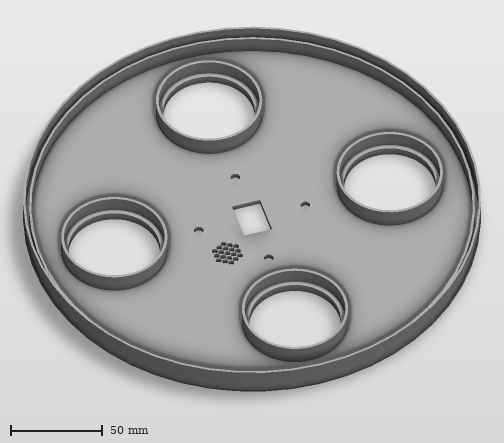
import cadquery as cq
import math

outer_diameter = 250.0
inner_diameter = 247.5
height = 18.0
floor_thickness = 3.0
bottom_edge_radius = 4.0

inner_ring_outer_diameter = 243.5
inner_ring_inner_diameter = 241.0
inner_ring_top = 13.0

ring_count = 4
ring_circle_radius = 78.8
ring_outer_diameter = 58.0
ring_inner_diameter = 55.0
opening_diameter = 50.0
ring_top = 14.0
ring_ledge = 5.0

screw_count = 4
screw_circle_radius = 30.5
screw_diameter = 5.2
window_length = 22.0
window_width = 16.0

grille_x = 20.5
grille_y = -20.5
grille_pitch = 3.5
grille_hole_diameter = 3.2
grille_rings = 2


def cylinder(diameter, bottom, top, points=((0, 0),)):
    """Upright cylinders of one diameter, centred on the given points."""
    disks = cq.Workplane("XY").workplane(offset=bottom).pushPoints(points).circle(diameter / 2)
    return disks.extrude(top - bottom)


def circle_points(count, radius):
    """Points evenly spaced on a circle, the first one on +X."""
    angles = [2 * math.pi * i / count for i in range(count)]
    return [(radius * math.cos(a), radius * math.sin(a)) for a in angles]


def grille_points():
    """Triangular grid of points filling a hexagon with corners on the X direction."""
    points = []
    for row in range(-grille_rings, grille_rings + 1):
        holes_in_row = 2 * grille_rings + 1 - abs(row)
        y = grille_y + row * grille_pitch * math.sqrt(3) / 2
        for i in range(holes_in_row):
            x = grille_x + (i - (holes_in_row - 1) / 2) * grille_pitch
            points.append((x, y))
    return points


def make_dish():
    """Round dish with a rounded bottom edge and a lower ring standing just inside its wall."""
    body = cylinder(outer_diameter, 0, height).faces("<Z").edges().fillet(bottom_edge_radius)
    body = body.cut(cylinder(inner_diameter, floor_thickness, height))
    inner_ring = cylinder(inner_ring_outer_diameter, floor_thickness, inner_ring_top)
    inner_ring = inner_ring.cut(cylinder(inner_ring_inner_diameter, floor_thickness, inner_ring_top))
    return body.union(inner_ring)


def add_rings(dish):
    """Raised rings, each with a ledge above a through opening."""
    centers = circle_points(ring_count, ring_circle_radius)
    dish = dish.union(cylinder(ring_outer_diameter, 0, ring_top, centers))
    dish = dish.cut(cylinder(ring_inner_diameter, ring_ledge, ring_top, centers))
    return dish.cut(cylinder(opening_diameter, 0, ring_top, centers))


def cut_floor_openings(dish):
    """Screw holes, central window and grille, all through the floor."""
    screws = circle_points(screw_count, screw_circle_radius)
    window = cq.Workplane("XY").rect(window_length, window_width).extrude(floor_thickness)
    dish = dish.cut(cylinder(screw_diameter, 0, floor_thickness, screws))
    dish = dish.cut(window)
    return dish.cut(cylinder(grille_hole_diameter, 0, floor_thickness, grille_points()))


result = cut_floor_openings(add_rings(make_dish()))